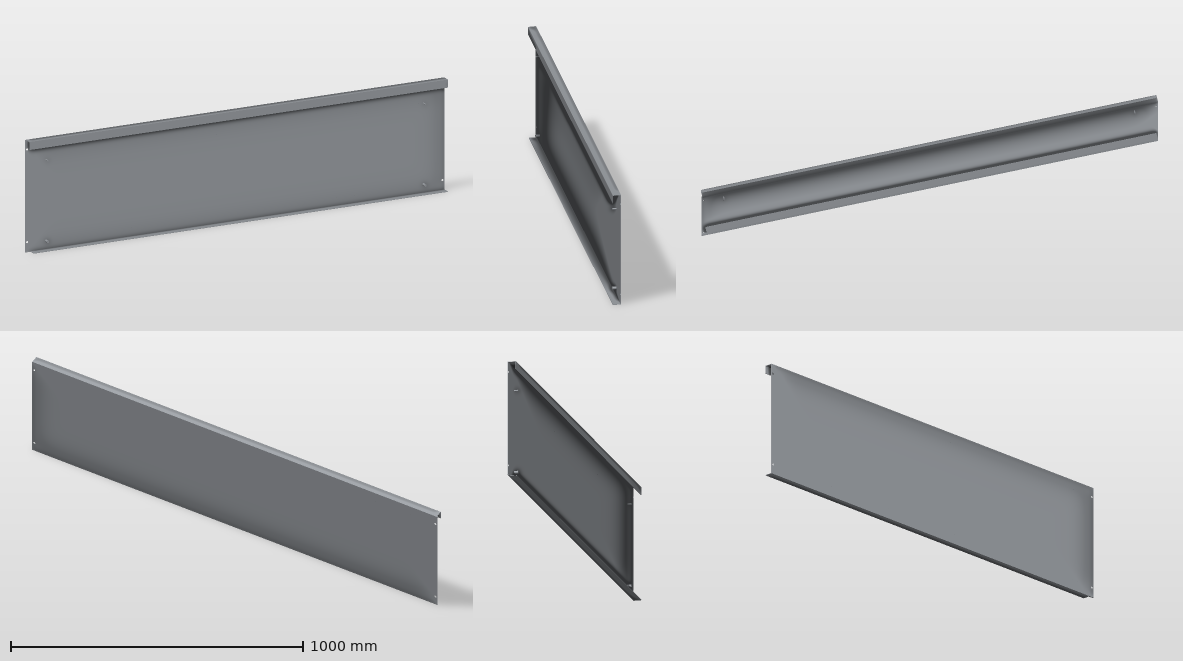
import cadquery as cq

length = 1600.0
height = 403.0
depth = 29.0
sheet = 1.3

lip_height = 29.0
top_fold_setback = 3.0
bottom_fold_setback = 20.0
fold_root_width = 5.0

hole_diameter = 8.0
hole_edge_distance = 8.0
hole_height_inset = 35.0

pin_tip = 16.0
pin_end_distance = 80.0
lower_pin_diameter = 10.0
lower_pin_height = 30.0
upper_pin_diameter = 5.0
upper_pin_height = height - 82.0


def sheet_box(size_x, size_y, size_z, corner):
    """Box with its lowest corner at the given point."""
    return cq.Workplane("XY").box(size_x, size_y, size_z, centered=False).translate(corner)


def rod_along_x(diameter, start_x, end_x, y, z):
    """Round rod along X between two planes."""
    section = cq.Workplane("YZ", origin=(start_x, y, z)).circle(diameter / 2)
    return section.extrude(end_x - start_x)


top_fold_length = length - top_fold_setback
panel = sheet_box(sheet, length, height, (0, 0, 0))
lip_corner = (depth - sheet, top_fold_setback, height - lip_height)
lip = sheet_box(sheet, top_fold_length, lip_height, lip_corner)
result = panel
for flange_z, setback in ((0, bottom_fold_setback), (height - sheet, top_fold_setback)):
    result = result.union(sheet_box(depth, length - setback, sheet, (0, setback, flange_z)))
    result = result.union(sheet_box(fold_root_width, length, sheet, (0, 0, flange_z)))
result = result.union(lip)

for pin_y in (pin_end_distance, length - pin_end_distance):
    result = result.union(rod_along_x(lower_pin_diameter, sheet, pin_tip, pin_y, lower_pin_height))
    result = result.union(rod_along_x(upper_pin_diameter, sheet, pin_tip, pin_y, upper_pin_height))

for hole_y in (hole_edge_distance, length - hole_edge_distance):
    for hole_z in (hole_height_inset, height - hole_height_inset):
        result = result.cut(rod_along_x(hole_diameter, 0, sheet, hole_y, hole_z))